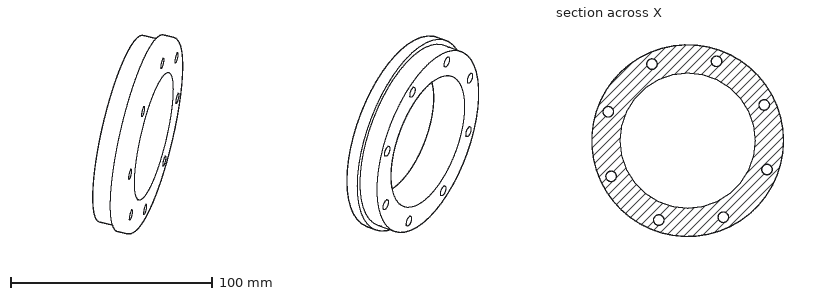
import cadquery as cq

flange_diameter = 100.5
spigot_diameter = 95.4
total_length = 17.0
flange_length = 7.0
rim_fillet = 2.0

bore_wide_diameter = 69.0
bore_narrow_diameter = 65.1

hole_count = 8
hole_diameter = 5.1
bolt_circle_diameter = 84.0
first_hole_angle = 70.0

spigot_length = total_length - flange_length


def make_body():
    """Spigot on the -X side, flange with a rounded outer rim on the +X side."""
    spigot = cq.Workplane("YZ").circle(spigot_diameter / 2).extrude(spigot_length)
    flange = (
        cq.Workplane("YZ")
        .workplane(offset=spigot_length)
        .circle(flange_diameter / 2)
        .extrude(flange_length)
        .faces(">X")
        .edges()
        .fillet(rim_fillet)
    )
    return spigot.union(flange)


def make_bore():
    """Cone that narrows evenly from the spigot face to the flange face."""
    return (
        cq.Workplane("YZ")
        .circle(bore_wide_diameter / 2)
        .workplane(offset=total_length)
        .circle(bore_narrow_diameter / 2)
        .loft(ruled=True)
    )


def make_holes():
    """Ring of equally spaced holes through the full length."""
    return (
        cq.Workplane("YZ")
        .polarArray(bolt_circle_diameter / 2, first_hole_angle, 360, hole_count)
        .circle(hole_diameter / 2)
        .extrude(total_length)
    )


result = make_body().cut(make_bore()).cut(make_holes())